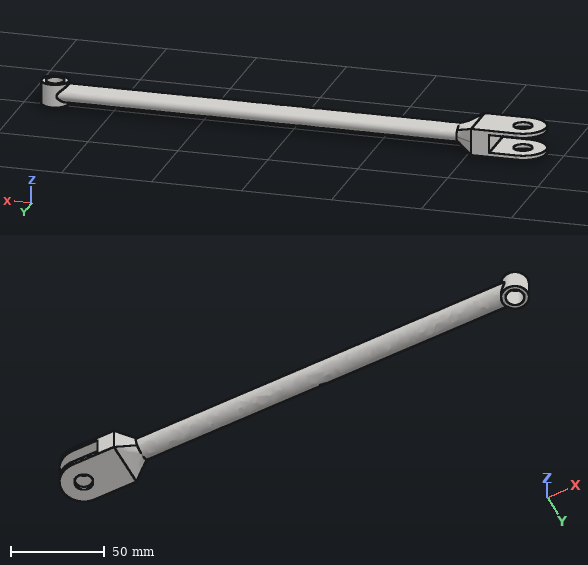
import cadquery as cq

pin_spacing = 260.0

fork_width = 26.0
fork_height = 15.0
fork_slot_height = 10.0
fork_slot_floor = 15.0
fork_end = 25.0
fork_radius = fork_width / 2
pin_diameter = 10.0

rod_width = 14.0
rod_height = 10.0

neck_length = 10.0
neck_end = fork_end + neck_length

eye_diameter = 15.0
eye_height = 13.0


def make_fork():
    """Solid fork block with a rounded end centred on the pin axis."""
    block = cq.Workplane("XY").box(fork_end, fork_width, fork_height, centered=(False, True, True))
    rounded_end = (
        cq.Workplane("XY", origin=(0, 0, -fork_height / 2))
        .circle(fork_radius)
        .extrude(fork_height)
    )
    return block.union(rounded_end)


def make_slot():
    """Opening between the two fork cheeks, open at the rounded end."""
    slot_length = fork_radius + fork_slot_floor
    return (
        cq.Workplane("XY", origin=(-fork_radius, 0, 0))
        .box(slot_length, fork_width, fork_slot_height, centered=(False, True, True))
    )


def make_neck():
    """Blend from the rectangular fork block to the elliptical rod."""
    return (
        cq.Workplane("YZ", origin=(fork_end, 0, 0))
        .rect(fork_width, fork_height)
        .workplane(offset=neck_length)
        .ellipse(rod_width / 2, rod_height / 2)
        .loft()
    )


def make_rod():
    """Elliptical bar reaching from the neck to the axis of the eye."""
    return (
        cq.Workplane("YZ", origin=(neck_end, 0, 0))
        .ellipse(rod_width / 2, rod_height / 2)
        .extrude(pin_spacing - neck_end)
    )


def make_eye():
    """Upright cylinder that carries the far pin."""
    return (
        cq.Workplane("XY", origin=(pin_spacing, 0, -eye_height / 2))
        .circle(eye_diameter / 2)
        .extrude(eye_height)
    )


def make_pin_holes():
    """Vertical bores through the fork cheeks and the eye."""
    return (
        cq.Workplane("XY")
        .pushPoints([(0, 0), (pin_spacing, 0)])
        .circle(pin_diameter / 2)
        .extrude(fork_height, both=True)
    )


body = make_fork().union(make_neck()).union(make_rod()).union(make_eye())
result = body.cut(make_slot()).cut(make_pin_holes())